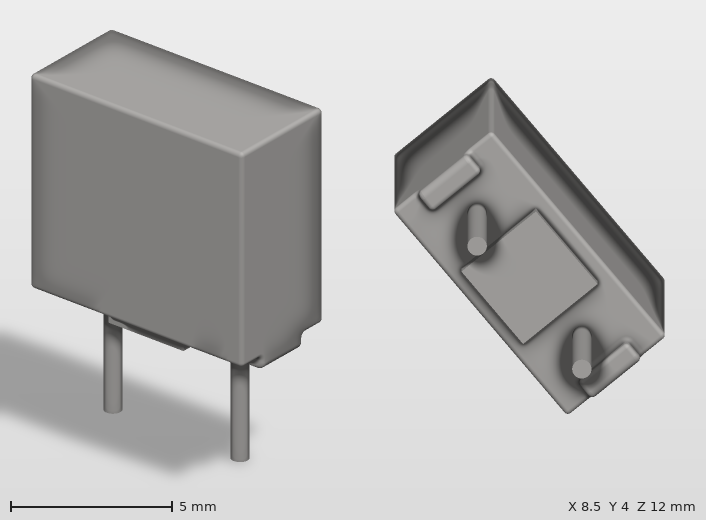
import cadquery as cq

total_height = 12.0
case_length = 8.5
case_width = 4.0
case_height = 7.5
edge_radius = 0.15

foot_length = 0.72
foot_width = 2.0
foot_height = 0.5
root_radius = 0.15
toe_radius = 0.24

pad_side = 3.0

pin_diameter = 0.6
pin_spacing = 5.09
pin_length = total_height - case_height

SIDES = (-1, 1)
ON_BASE = (True, True, False)


def make_case():
    """Rounded case with a standoff foot flush with each end."""
    case = cq.Workplane("XY").box(case_length, case_width, case_height, centered=ON_BASE)
    foot_x = (case_length - foot_length) / 2
    for side in SIDES:
        outer, inner = ("<X", ">X") if side < 0 else (">X", "<X")
        foot = (
            cq.Workplane("XY", origin=(side * foot_x, 0, -foot_height))
            .box(foot_length, foot_width, foot_height, centered=ON_BASE)
            .edges(f"|Z and {inner}")
            .fillet(edge_radius)
            .edges(f"<Z and {outer}")
            .fillet(toe_radius)
        )
        case = case.union(foot)

    slack = 0.01
    for side in SIDES:
        near_x = side * (case_length / 2 - foot_length - slack)
        far_x = side * (case_length / 2 + slack)
        half_width = foot_width / 2 + slack
        root = cq.selectors.BoxSelector(
            (near_x, -half_width, -slack), (far_x, half_width, slack), boundingbox=True
        )
        case = case.edges(root).fillet(root_radius)

    outline = case.faces("<X or >X or <Y or >Y or >Z or <Z").edges()
    smooth = []
    for end in ("<X", ">X"):
        smooth += case.faces(end).edges("|Y").edges("<Z").vals()
        smooth += case.faces("<Z").edges("|Y").edges(end).vals()
    sharp = [edge for edge in outline.vals() if not any(edge.isSame(other) for other in smooth)]
    return outline.newObject(sharp).fillet(edge_radius)


def make_pad():
    """Square pad under the middle of the case, level with the feet."""
    return cq.Workplane("XY").rect(pad_side, pad_side).extrude(-foot_height)


def make_pins():
    """Two round leads below the case."""
    pin_x = pin_spacing / 2
    return (
        cq.Workplane("XY")
        .pushPoints([(side * pin_x, 0) for side in SIDES])
        .circle(pin_diameter / 2)
        .extrude(-pin_length)
    )


result = make_case().union(make_pad()).union(make_pins())